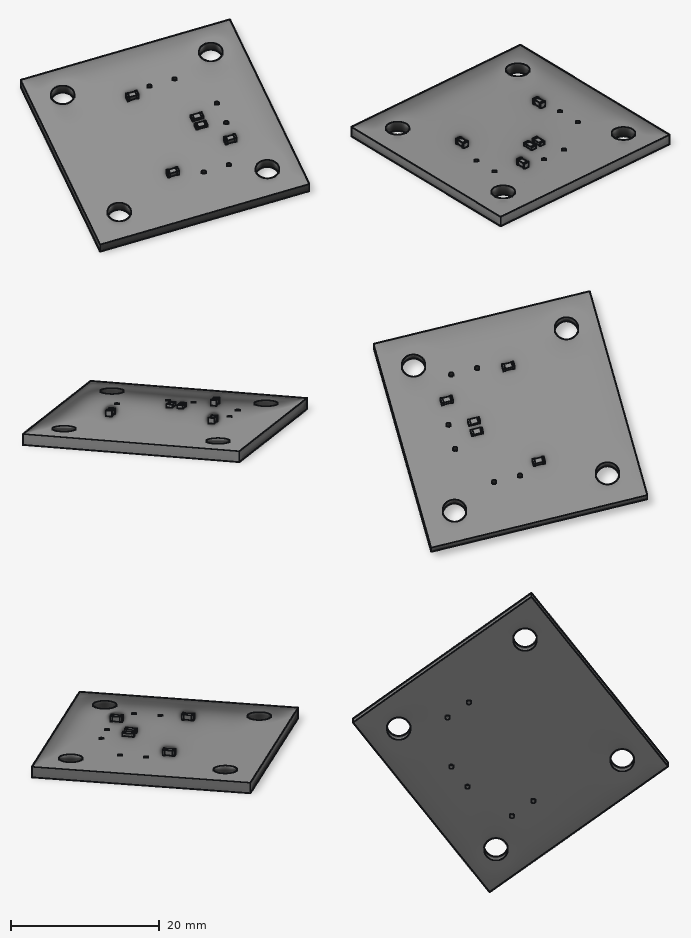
import cadquery as cq

BOARD_LENGTH = 30.5
BOARD_WIDTH = 30.0
BOARD_THICKNESS = 1.52

MOUNT_HOLE_DIAMETER = 3.2
MOUNT_PITCH_X = 21.7
MOUNT_PITCH_Y = 21.23

LEAD_HOLE_DIAMETER = 0.6
LEAD_PITCH = 3.6
LEAD_PAIR_ALONG_X = (-0.43, 8.27)
LEAD_PAIRS_ALONG_Y = [(-8.17, 2.62), (8.33, 4.25)]

CHIP_LENGTH = 1.6
CHIP_WIDTH = 0.8
TERMINAL_LENGTH = 0.27
BOARD_GAP = 0.1

CAPACITOR_HEIGHT = 0.8
CAPACITOR_SETBACK = 0.045
CAPACITOR_CENTRES = [(-7.0, -2.07), (4.65, 7.62), (7.3, -1.62)]

RESISTOR_HEIGHT = 0.45
RESISTOR_SETBACK = 0.03
RESISTOR_CENTRES = [(-0.7, 4.85), (0.82, 4.85)]


def make_board():
    """Rectangular plate with four mounting holes and three pairs of lead holes."""
    plate = cq.Workplane("XY").box(BOARD_LENGTH, BOARD_WIDTH, BOARD_THICKNESS, centered=(True, True, False))
    plate = (
        plate.faces(">Z")
        .workplane(origin=(0, 0, 0))
        .rect(MOUNT_PITCH_X, MOUNT_PITCH_Y, forConstruction=True)
        .vertices()
        .hole(MOUNT_HOLE_DIAMETER)
    )
    half_pitch = LEAD_PITCH / 2
    pair_x, pair_y = LEAD_PAIR_ALONG_X
    lead_points = [(pair_x - half_pitch, pair_y), (pair_x + half_pitch, pair_y)]
    for pair_x, pair_y in LEAD_PAIRS_ALONG_Y:
        lead_points += [(pair_x, pair_y - half_pitch), (pair_x, pair_y + half_pitch)]
    return plate.faces(">Z").workplane(origin=(0, 0, 0)).pushPoints(lead_points).hole(LEAD_HOLE_DIAMETER)


def make_chip(centre, height, side_setback, face_setback):
    """Chip held just above the board: two end terminals joined by a thinner middle."""
    x, y = centre
    middle_length = CHIP_LENGTH - 2 * TERMINAL_LENGTH
    middle_width = CHIP_WIDTH - 2 * side_setback
    middle_height = height - 2 * face_setback
    terminal_offset = (CHIP_LENGTH - TERMINAL_LENGTH) / 2

    base = cq.Workplane("XY", origin=(x, y, BOARD_THICKNESS + BOARD_GAP + height / 2))
    chip = base.box(middle_width, middle_length, middle_height)
    for end in (-1, 1):
        terminal = base.center(0, end * terminal_offset).box(CHIP_WIDTH, TERMINAL_LENGTH, height)
        chip = chip.union(terminal)
    return chip


def make_capacitor(centre):
    """Tall chip whose middle is set back all round."""
    return make_chip(centre, CAPACITOR_HEIGHT, CAPACITOR_SETBACK, CAPACITOR_SETBACK)


def make_resistor(centre):
    """Low chip whose middle has flush sides."""
    return make_chip(centre, RESISTOR_HEIGHT, side_setback=0, face_setback=RESISTOR_SETBACK)


board = make_board()
capacitors = [make_capacitor(centre) for centre in CAPACITOR_CENTRES]
resistors = [make_resistor(centre) for centre in RESISTOR_CENTRES]

result = cq.Compound.makeCompound([body.val() for body in [board, *capacitors, *resistors]])